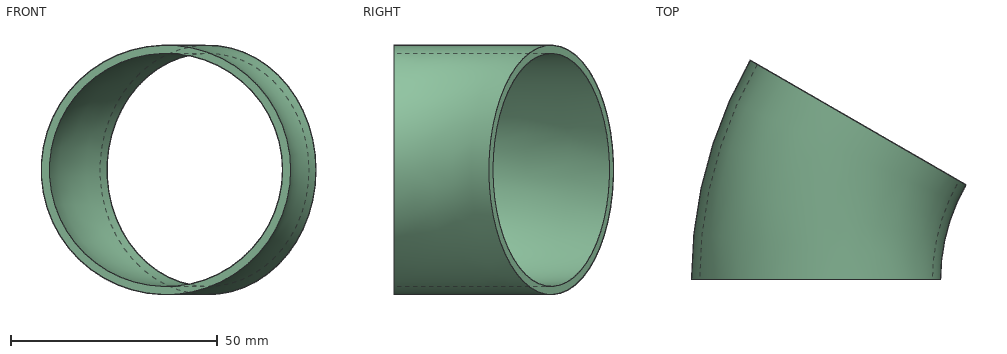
import cadquery as cq
import math

overall_width = 66.45
bend_radius = 76.0
bend_angle = 30
wall = 2.0

bend_cosine = math.cos(math.radians(bend_angle))
outer_radius = (overall_width - bend_radius * (1 - bend_cosine)) / (1 + bend_cosine)
inner_radius = outer_radius - wall


def bent_rod(radius):
    """Solid round rod starting at the origin along +Y and bending towards +X."""
    axis_start = (bend_radius, 0)
    axis_end = (bend_radius, -1)
    return cq.Workplane("XZ").circle(radius).revolve(bend_angle, axis_start, axis_end)


result = bent_rod(outer_radius).cut(bent_rod(inner_radius))